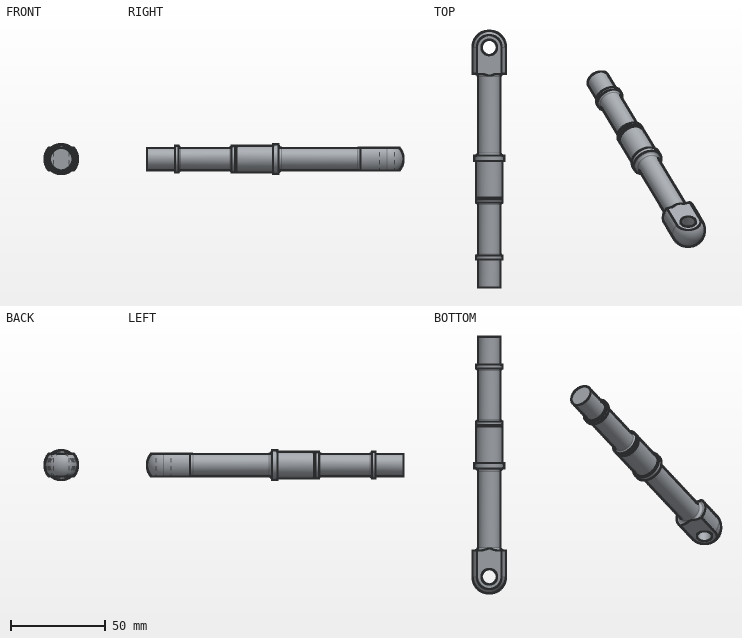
import cadquery as cq
import math

length = 136.6
shaft_radius = 12.0 / 2

head_radius = 17.9 / 2
head_thickness = 12.2
head_back = 113.7
eye_center = length - head_radius
eye_diameter = 8.0

collar_radius = 16.0 / 2
collar_front = 67.2
collar_back = 70.1
sleeve_radius = 14.3 / 2
sleeve_front = 45.1
groove_radius = 13.4 / 2
groove_front = 46.9
groove_back = 47.8

ring_front = 14.9
ring_back = 17.0

large_fillet = 1.5
small_fillet = 1.0


def cylinder(radius, start, end):
    """Solid cylinder on the Y axis from y = start to y = end."""
    return cq.Workplane("XZ", origin=(0, start, 0)).circle(radius).extrude(start - end)


def root_fillet(shoulder, size, direction):
    """Concave collar on the shaft, spreading away from a shoulder along +Y or -Y."""
    tip = shoulder + direction * size
    outer_radius = shaft_radius + size
    arc_offset = size * (1 - math.sqrt(0.5))
    arc_middle = (shaft_radius + arc_offset, shoulder + direction * arc_offset)
    return (
        cq.Workplane("XY")
        .moveTo(0, shoulder)
        .lineTo(outer_radius, shoulder)
        .threePointArc(arc_middle, (shaft_radius, tip))
        .lineTo(0, tip)
        .close()
        .revolve(360, (0, 0, 0), (0, 1, 0))
    )


def make_head():
    """Round-ended bar with its root fillet, cut by two flats and a cross hole."""
    dome = cq.Workplane("XY").sphere(head_radius).translate((0, eye_center, 0))
    body = cylinder(head_radius, head_back, eye_center).union(dome)
    body = body.union(root_fillet(head_back, large_fillet, -1))
    flats = cq.Workplane("XY").box(2 * length, 4 * length, head_thickness)
    hole = (
        cq.Workplane("XY", origin=(0, eye_center, 0))
        .circle(eye_diameter / 2)
        .extrude(head_thickness, both=True)
    )
    return body.intersect(flats).cut(hole)


def make_stem():
    """Shaft with its collar, grooved sleeve and end ring."""
    stem = cylinder(shaft_radius, 0, head_back)
    steps = [
        (collar_radius, collar_front, collar_back),
        (sleeve_radius, groove_back, collar_front),
        (groove_radius, groove_front, groove_back),
        (sleeve_radius, sleeve_front, groove_front),
        (sleeve_radius, ring_front, ring_back),
    ]
    for radius, start, end in steps:
        stem = stem.union(cylinder(radius, start, end))
    stem = stem.union(root_fillet(collar_back, large_fillet, 1))
    stem = stem.union(root_fillet(sleeve_front, small_fillet, -1))
    return stem.union(root_fillet(ring_back, small_fillet, 1))


result = make_stem().union(make_head())